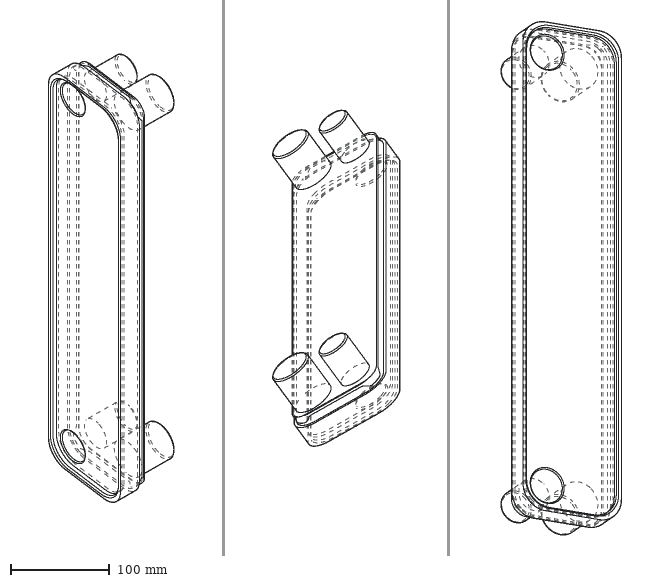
import cadquery as cq
import math

pack_width = 111.0
pack_height = 526.0
pack_corner_radius = 25.0
pack_depth = 26.0

step_inset = 3.2
step_depth = 10.0
step_draft_angle = 11.5

cover_inset = 4.5
cover_corner_radius = 17.5
cover_front = 28.5
cover_back = 37.0

pocket_inset = 5.0
pocket_corner_radius = 25.0
pocket_chamfer = 1.85
pocket_chamfer_angle = 45

front_plate_face = 6.5
front_plate_back = 9.5

dimple_diameter = 38.5
dimple_floor_diameter = 36.0
dimple_depth = 1.5

port_x = 25.0
port_z = 233.0
small_pipe_diameter = 34.0
small_pipe_end = 79.5
large_pipe_diameter = 43.0
large_pipe_end = 81.0
pipe_chamfer = 1.5


def rounded_plate(y_front, depth, inset, corner_radius, taper=0):
    """Rounded plate set in from the pack outline; with a taper it narrows towards +Y."""
    width = pack_width - 2 * inset
    height = pack_height - 2 * inset
    outline = cq.Sketch().rect(width, height).vertices().fillet(corner_radius)
    return cq.Workplane("XZ", origin=(0, y_front, 0)).placeSketch(outline).extrude(-depth, taper=taper)


def make_step():
    corner_radius = pack_corner_radius - step_inset
    return rounded_plate(pack_depth, step_depth, step_inset, corner_radius, step_draft_angle)


def make_pocket():
    mouth_inset = pocket_inset - pocket_chamfer
    mouth_corner_radius = pocket_corner_radius + pocket_chamfer
    mouth = rounded_plate(0, pocket_chamfer, mouth_inset, mouth_corner_radius, pocket_chamfer_angle)
    return rounded_plate(0, front_plate_back, pocket_inset, pocket_corner_radius).union(mouth)


def make_pack():
    body = rounded_plate(0, pack_depth, 0, pack_corner_radius)
    return body.union(make_step()).cut(make_pocket())


def make_back_cover():
    lid = rounded_plate(cover_front, cover_back - cover_front, cover_inset, cover_corner_radius)
    return lid.cut(make_step())


def make_dimple(x, z):
    """Cone frustum that narrows from the plate face to the dimple floor."""
    taper = math.degrees(math.atan2((dimple_diameter - dimple_floor_diameter) / 2, dimple_depth))
    return (
        cq.Workplane("XZ", origin=(x, front_plate_face, z))
        .circle(dimple_diameter / 2)
        .extrude(-dimple_depth, taper=taper)
    )


def make_front_plate():
    thickness = front_plate_back - front_plate_face
    plate = rounded_plate(front_plate_face, thickness, pocket_inset, pocket_corner_radius)
    for side in (-1, 1):
        plate = plate.cut(make_dimple(-port_x, side * port_z))
    return plate


def make_pipe(x, z, diameter, y_end):
    return (
        cq.Workplane("XZ", origin=(x, cover_back, z))
        .circle(diameter / 2)
        .extrude(cover_back - y_end)
        .faces(">Y")
        .chamfer(pipe_chamfer)
    )


pack = make_pack()
back_cover = make_back_cover()
front_plate = make_front_plate()

pipes = []
for side in (-1, 1):
    pipes.append(make_pipe(-port_x, side * port_z, small_pipe_diameter, small_pipe_end).val())
    pipes.append(make_pipe(port_x, side * port_z, large_pipe_diameter, large_pipe_end).val())

result = cq.Compound.makeCompound([pack.val(), back_cover.val(), front_plate.val(), *pipes])